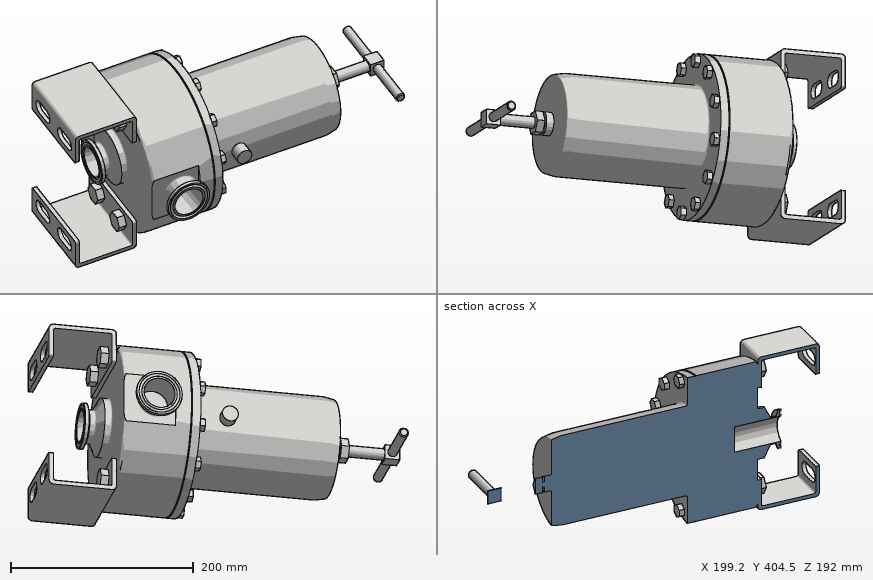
import cadquery as cq
import math


body_radius = 92.0
body_front_round = 3.45
body_step_y = 58.0
flat_x = 87.5
joint_y = 75.5
joint_gap = 1.2
joint_depth = 0.5
body_back_y = 85.8

housing_radius = 57.0
housing_base_weld = 2.5
housing_taper_y = 239.0
housing_end_radius = 54.5
housing_end_y = 251.5
housing_end_round = 1.4

neck_radius = 13.0
neck_end_y = 260.0
collar_radius = 8.5
screw_radius = 6.5
nut_start_y = 262.0
nut_height = 9.0
nut_across_flats = 23.5
block_size = 16.5
block_end_y = 329.0
handle_radius = 5.3
handle_length = 128.0
handle_chamfer = 1.2

flange_bolt_count = 12
flange_bolt_circle_radius = 83.8
flange_bolt_across_flats = 13.5
flange_bolt_height = 6.0
flange_bolt_first_angle = 15
flange_bolt_twist = 45

bracket_width = 102.8
bracket_depth = 75.5
bracket_top_z = 96.0
bracket_leg_end_z = 57.5
bracket_thickness = 5.0
bracket_outer_bend = 5.0
bracket_inner_bend = 2.5
bracket_corner_round = 3.0
slot_length = 32.5
slot_width = 16.0
slot_spacing = 51.0
slot_z = 73.2
bracket_bolt_across_flats = 20.2
bracket_bolt_height = 9.0

pipe_radius = 19.0
pipe_bore_radius = 17.5
ferrule_radius = 25.5
ferrule_rim = 4.0
ferrule_bevel = 2.5
seal_groove_radius = 21.5
seal_groove_width = 3.2
seal_groove_depth = 1.5
weld_size = 2.0
hub_radius = 32.8
hub_length = 8.5
hub_cone_end = 15.8
hub_cone_end_round = 1.5
inlet_length = 28.7
inlet_bore_depth = 56.5
outlet_y = 35.5
outlet_end_x = 107.2
outlet_bore_depth = 36.5

vent_radius = 9.0
vent_y = 124.0
vent_end_x = 70.5


def rod(radius, start_y, end_y):
    """Cylinder on the main axis between two Y positions."""
    return cq.Workplane("XZ", origin=(0, start_y, 0)).circle(radius).extrude(start_y - end_y)


def hexagon(across_flats, start_y, end_y, x=0, z=0, turn=0):
    """Hexagonal prism along Y; one corner points to +X when turn is 0."""
    across_corners = across_flats / math.cos(math.radians(30))
    return (
        cq.Workplane("XZ", origin=(x, start_y, z))
        .transformed(rotate=(0, 0, turn))
        .polygon(6, across_corners)
        .extrude(start_y - end_y)
    )


def make_body():
    body = rod(body_radius, 0, body_back_y).faces("<Y").edges().fillet(body_front_round)
    flat = (
        cq.Workplane("XY")
        .box(body_radius, body_step_y, 2 * body_radius, centered=(False, False, True))
        .translate((flat_x, 0, 0))
    )
    joint_start = joint_y - joint_gap / 2
    joint_end = joint_y + joint_gap / 2
    joint_core = rod(body_radius - joint_depth, joint_start, joint_end)
    joint_groove = rod(body_radius, joint_start, joint_end).cut(joint_core)
    return body.cut(flat).cut(joint_groove)


def make_housing():
    profile = (
        cq.Workplane("XY")
        .moveTo(0, body_back_y)
        .lineTo(housing_radius + housing_base_weld, body_back_y)
        .radiusArc((housing_radius, body_back_y + housing_base_weld), housing_base_weld)
        .lineTo(housing_radius, housing_taper_y)
        .lineTo(housing_end_radius, housing_end_y)
        .lineTo(0, housing_end_y)
        .close()
    )
    housing = profile.revolve(360, (0, 0, 0), (0, 1, 0))
    return housing.faces(">Y").edges().fillet(housing_end_round)


def make_vent():
    return cq.Workplane("YZ").center(vent_y, 0).circle(vent_radius).extrude(vent_end_x)


def make_adjusting_screw():
    block_center_y = block_end_y - block_size / 2
    neck = rod(neck_radius, housing_end_y, neck_end_y)
    collar = rod(collar_radius, neck_end_y, nut_start_y)
    screw = rod(screw_radius, housing_end_y, block_center_y)
    nut = hexagon(nut_across_flats, nut_start_y, nut_start_y + nut_height)
    block = cq.Workplane("XY").box(block_size, block_size, block_size)
    handle = (
        cq.Workplane("YZ")
        .circle(handle_radius)
        .extrude(handle_length / 2, both=True)
        .faces("<X or >X")
        .chamfer(handle_chamfer)
    )
    grip = block.union(handle).translate((0, block_center_y, 0))
    return neck.union(collar).union(screw).union(nut).union(grip)


def make_flange_bolts():
    bolts = cq.Workplane("XY")
    for index in range(flange_bolt_count):
        angle = flange_bolt_first_angle + index * 360 / flange_bolt_count
        x = flange_bolt_circle_radius * math.cos(math.radians(angle))
        z = flange_bolt_circle_radius * math.sin(math.radians(angle))
        bolts = bolts.union(
            hexagon(
                flange_bolt_across_flats,
                body_back_y,
                body_back_y + flange_bolt_height,
                x,
                z,
                angle + flange_bolt_twist,
            )
        )
    return bolts


def make_upper_bracket():
    """C-shaped bracket with two slots in its front leg and two bolts in its back leg."""
    height = bracket_top_z - bracket_leg_end_z
    middle_z = (bracket_top_z + bracket_leg_end_z) / 2
    outer = (
        cq.Workplane("XY")
        .box(bracket_width, bracket_depth, height)
        .edges("|X and >Z")
        .fillet(bracket_outer_bend)
        .edges("|Y and <Z")
        .fillet(bracket_corner_round)
    )
    inner = (
        cq.Workplane("XY")
        .box(bracket_width, bracket_depth - 2 * bracket_thickness, height)
        .edges("|X and >Z")
        .fillet(bracket_inner_bend)
        .translate((0, 0, -bracket_thickness))
    )
    bracket = outer.cut(inner).translate((0, -bracket_depth / 2, middle_z))
    slots = (
        cq.Workplane("XZ", origin=(0, -bracket_depth + bracket_thickness, slot_z))
        .rarray(slot_spacing, 4, 2, 1)
        .slot2D(slot_length, slot_width)
        .extrude(bracket_thickness)
    )
    bracket = bracket.cut(slots)
    for x in (-slot_spacing / 2, slot_spacing / 2):
        head_back_y = -bracket_thickness
        head_front_y = head_back_y - bracket_bolt_height
        bracket = bracket.union(
            hexagon(bracket_bolt_across_flats, head_front_y, head_back_y, x, slot_z)
        )
    return bracket


def ferrule_pipe(profile, length):
    """Finish a pipe half-profile at its grooved clamp ferrule and revolve it about Y."""
    half_groove = seal_groove_width / 2
    rim_y = -length + ferrule_rim
    return (
        profile.lineTo(pipe_radius, rim_y + ferrule_bevel)
        .lineTo(ferrule_radius, rim_y)
        .lineTo(ferrule_radius, -length)
        .lineTo(seal_groove_radius + half_groove, -length)
        .threePointArc(
            (seal_groove_radius, -length + seal_groove_depth),
            (seal_groove_radius - half_groove, -length),
        )
        .lineTo(0, -length)
        .close()
        .revolve(360, (0, 0, 0), (0, 1, 0))
    )


def make_inlet():
    profile = (
        cq.Workplane("XY")
        .lineTo(hub_radius + weld_size, 0)
        .radiusArc((hub_radius, -weld_size), -weld_size)
        .lineTo(hub_radius, -hub_length)
        .lineTo(pipe_radius, -hub_cone_end)
    )
    inlet = ferrule_pipe(profile, inlet_length)
    cone_end_ring = cq.selectors.NearestToPointSelector((0, -hub_cone_end, 0))
    return inlet.edges(cone_end_ring).fillet(hub_cone_end_round)


def make_outlet():
    profile = (
        cq.Workplane("XY")
        .lineTo(pipe_radius + weld_size, 0)
        .radiusArc((pipe_radius, -weld_size), -weld_size)
    )
    pipe = ferrule_pipe(profile, outlet_end_x - flat_x)
    return pipe.rotate((0, 0, 0), (0, 0, 1), 90).translate((flat_x, outlet_y, 0))


def make_bores():
    inlet_bore = rod(pipe_bore_radius, -inlet_length, inlet_bore_depth - inlet_length)
    outlet_bore = (
        cq.Workplane("YZ", origin=(outlet_end_x, outlet_y, 0))
        .circle(pipe_bore_radius)
        .extrude(-outlet_bore_depth)
    )
    return inlet_bore.union(outlet_bore)


upper_bracket = make_upper_bracket()
lower_bracket = upper_bracket.mirror("XY")

result = (
    make_body()
    .union(make_housing())
    .union(make_vent())
    .union(make_adjusting_screw())
    .union(make_flange_bolts())
    .union(upper_bracket)
    .union(lower_bracket)
    .union(make_inlet())
    .union(make_outlet())
    .cut(make_bores())
)